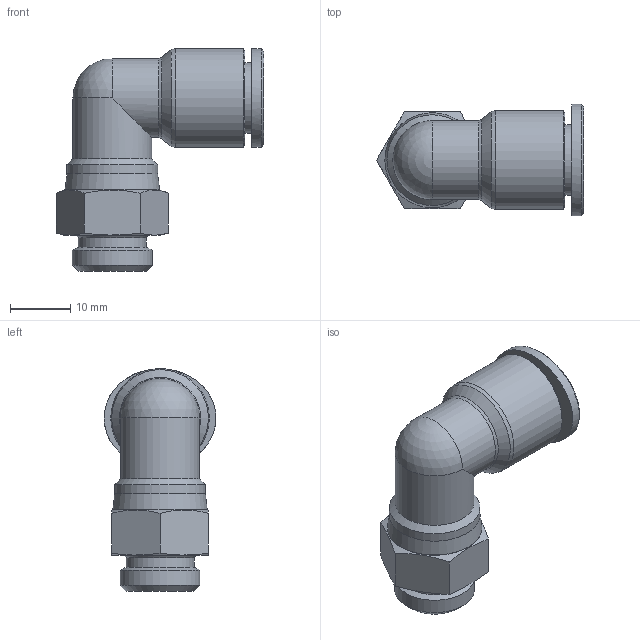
import cadquery as cq
import math

elbow_height = 28.65
elbow_radius = 6.52

thread_radius = 6.6
thread_top = 3.5
thread_end_chamfer = 1.0
neck_radius = 5.62
neck_bottom = 3.95
neck_top = 5.55
neck_shoulder_radius = 5.95

hex_flats = 16.0
hex_corners = hex_flats / math.cos(math.radians(30))
hex_bottom = 5.95
hex_top = 13.5
hex_face_radius = 7.85
hex_bottom_corner_drop = 0.35
hex_top_corner_drop = 0.6

collar_radius = 7.5
collar_base_radius = 7.8
collar_cone_top = 16.1
collar_top = 18.6
collar_chamfer = collar_radius - elbow_radius

socket_radius = 8.15
socket_start = 7.7
socket_cone_start = 8.2
socket_cone_start_radius = 6.7
socket_cone_end = 9.7
socket_cone_end_radius = 8.0
socket_full = 10.4
socket_end = 21.9
socket_end_chamfer = 0.25

ring_neck_radius = 5.83
flange_start = 23.05
flange_end = 25.0
flange_half_width = 9.25
flange_half_height = 8.15
flange_chamfer = 0.4


def turned_about_z(profile):
    """Solid of revolution from (radius, z) points, closed along the Z axis."""
    return cq.Workplane("XZ").polyline(profile).close().revolve(360, (0, 0, 0), (0, 1, 0))


def turned_socket(profile):
    """Solid of revolution from (x, radius) points about the horizontal leg axis."""
    outline = cq.Workplane("XZ", origin=(0, 0, elbow_height)).polyline(profile).close()
    return outline.revolve(360, (0, 0, 0), (1, 0, 0))


def make_threaded_end():
    return turned_about_z([
        (0, 0),
        (thread_radius - thread_end_chamfer, 0),
        (thread_radius, thread_end_chamfer),
        (thread_radius, thread_top),
        (neck_radius, neck_bottom),
        (neck_radius, neck_top),
        (neck_shoulder_radius, hex_bottom),
        (0, hex_bottom),
    ])


def make_hexagon():
    height = hex_top - hex_bottom
    prism = cq.Workplane("XY").workplane(offset=hex_bottom).polygon(6, hex_corners).extrude(height)
    corner_radius = hex_corners / 2
    envelope = turned_about_z([
        (0, hex_bottom),
        (hex_face_radius, hex_bottom),
        (corner_radius, hex_bottom + hex_bottom_corner_drop),
        (corner_radius, hex_top - hex_top_corner_drop),
        (hex_face_radius, hex_top),
        (0, hex_top),
    ])
    return prism.intersect(envelope)


def make_collar():
    return turned_about_z([
        (0, hex_top),
        (collar_base_radius, hex_top),
        (collar_radius, collar_cone_top),
        (collar_radius, collar_top - collar_chamfer),
        (elbow_radius, collar_top),
        (0, collar_top),
    ])


def make_elbow():
    leg_length = elbow_height - collar_top
    vertical = cq.Workplane("XY").workplane(offset=collar_top).circle(elbow_radius).extrude(leg_length)
    joint = cq.Workplane("YZ", origin=(0, 0, elbow_height))
    horizontal = joint.circle(elbow_radius).extrude(socket_start)
    ball = cq.Workplane("XY").sphere(elbow_radius).translate((0, 0, elbow_height))
    return vertical.union(horizontal).union(ball)


def make_socket():
    return turned_socket([
        (socket_start, 0),
        (socket_start, elbow_radius),
        (socket_cone_start, socket_cone_start_radius),
        (socket_cone_end, socket_cone_end_radius),
        (socket_full, socket_radius),
        (socket_end - socket_end_chamfer, socket_radius),
        (socket_end, socket_radius - socket_end_chamfer),
        (socket_end, 0),
    ])


def make_release_ring():
    neck_length = flange_start - socket_end
    neck_plane = cq.Workplane("YZ", origin=(socket_end, 0, elbow_height))
    neck = neck_plane.circle(ring_neck_radius).extrude(neck_length)
    flange_plane = cq.Workplane("YZ", origin=(flange_start, 0, elbow_height))
    flange = flange_plane.ellipse(flange_half_width, flange_half_height).extrude(flange_end - flange_start)
    flange = flange.faces(">X").chamfer(flange_chamfer)
    return neck.union(flange)


result = (
    make_threaded_end()
    .union(make_hexagon())
    .union(make_collar())
    .union(make_elbow())
    .union(make_socket())
    .union(make_release_ring())
)